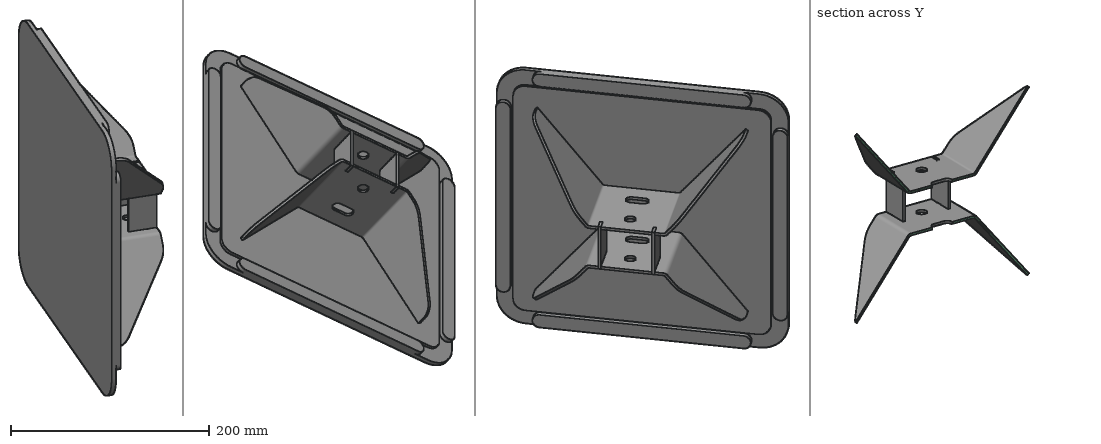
import cadquery as cq
import math


TRAY_SIZE = 300.0
TRAY_CORNER_RADIUS = 30.0
RIM_DEPTH = 10.0
TRAY_THICKNESS = RIM_DEPTH / 2
RIM_WIDTH = 15.0
RIM_LENGTH = 224.7

RIM_GAP = 2.5
BACKING_THICKNESS = 3.0
BACKING_INSET = RIM_WIDTH + RIM_GAP
BACKING_SIZE = TRAY_SIZE - 2 * BACKING_INSET
BACKING_CORNER_RADIUS = TRAY_CORNER_RADIUS - BACKING_INSET
BACKING_TOP = TRAY_THICKNESS + BACKING_THICKNESS

TOTAL_DEPTH = 88.0
BRACKET_HEIGHT = TOTAL_DEPTH - BACKING_TOP
SHEET = 3.0
WEB_HALF_WIDTH = 37.8
WEB_GAP = 43.8
WEB_INNER_Z = WEB_GAP / 2
BEND_INNER_RADIUS = 3.0
BEND_OUTER_RADIUS = BEND_INNER_RADIUS + SHEET
BEND_ANGLE = 51.0
WING_LENGTH = 106.5
WING_FLAT = 18.5
WING_END_TOP = 27.5
WING_TOP_RADIUS = 30.0
WING_END_RADIUS = 20.0

HOLE_DIAMETER = 11.0
HOLE_Y = 67.0
SLOT_LENGTH = 23.7
SLOT_Y = 30.3

CROSS_X = 27.5
CROSS_THICKNESS = SHEET
CROSS_DEPTH = 30.0
TAB_DEPTH = 10.0

FRAME_OFFSET = (0.3, 0, 0.3)


def block(x_size, y_start, y_end, z_size, x=0, z=0):
    """Box centred on (x, z), reaching from y_start to y_end."""
    return (
        cq.Workplane("XY")
        .box(x_size, y_end - y_start, z_size)
        .translate((x, (y_start + y_end) / 2, z))
    )


def rounded_square(size, radius, y_start, thickness):
    return block(size, y_start, y_start + thickness, size).edges("|Y").fillet(radius)


def make_tray():
    tray = rounded_square(TRAY_SIZE, TRAY_CORNER_RADIUS, 0, TRAY_THICKNESS)
    strip = (
        cq.Workplane("XZ", origin=(0, 0, (TRAY_SIZE - RIM_WIDTH) / 2))
        .slot2D(RIM_LENGTH, RIM_WIDTH)
        .extrude(-RIM_DEPTH)
    )
    for side in range(4):
        tray = tray.union(strip.rotate((0, 0, 0), (0, 1, 0), 90 * side))
    return tray


def make_backing():
    return rounded_square(BACKING_SIZE, BACKING_CORNER_RADIUS, TRAY_THICKNESS, BACKING_THICKNESS)


def make_wing():
    """Right-hand flat wing, cut from sheet and turned into place at the end of the bend."""
    wing = (
        cq.Workplane("XY")
        .moveTo(0, BACKING_TOP)
        .lineTo(WING_LENGTH, BACKING_TOP)
        .lineTo(WING_LENGTH, WING_END_TOP)
        .lineTo(WING_FLAT, TOTAL_DEPTH)
        .lineTo(0, TOTAL_DEPTH)
        .close()
        .extrude(SHEET)
    )
    rounded_corners = (
        (WING_LENGTH, WING_END_TOP, WING_END_RADIUS),
        (WING_FLAT, TOTAL_DEPTH, WING_TOP_RADIUS),
    )
    for x, y, radius in rounded_corners:
        corner = cq.selectors.NearestToPointSelector((x, y, SHEET / 2))
        wing = wing.edges("|Z").edges(corner).fillet(radius)
    turn = math.radians(BEND_ANGLE)
    bend_end_x = WEB_HALF_WIDTH + BEND_OUTER_RADIUS * math.sin(turn)
    bend_end_z = WEB_INNER_Z + BEND_OUTER_RADIUS * (1 - math.cos(turn))
    return wing.rotate((0, 0, 0), (0, 1, 0), -BEND_ANGLE).translate((bend_end_x, 0, bend_end_z))


def make_bend():
    """Right-hand bend: a ring sector about the bend axis, between web and wing."""
    axis_z = WEB_INNER_Z + BEND_OUTER_RADIUS

    def on_arc(radius, angle):
        turn = math.radians(angle)
        return (WEB_HALF_WIDTH + radius * math.sin(turn), axis_z - radius * math.cos(turn))

    return (
        cq.Workplane("XZ", origin=(0, BACKING_TOP, 0))
        .moveTo(*on_arc(BEND_OUTER_RADIUS, 0))
        .threePointArc(on_arc(BEND_OUTER_RADIUS, BEND_ANGLE / 2), on_arc(BEND_OUTER_RADIUS, BEND_ANGLE))
        .lineTo(*on_arc(BEND_INNER_RADIUS, BEND_ANGLE))
        .threePointArc(on_arc(BEND_INNER_RADIUS, BEND_ANGLE / 2), on_arc(BEND_INNER_RADIUS, 0))
        .close()
        .extrude(-BRACKET_HEIGHT)
    )


def make_web():
    """Flat middle of the bracket with its hole, slot and notches for the cross plates."""
    web = block(2 * WEB_HALF_WIDTH, BACKING_TOP, TOTAL_DEPTH, SHEET, z=WEB_INNER_Z + SHEET / 2)
    openings = (
        cq.Workplane("XY", origin=(0, HOLE_Y, WEB_INNER_Z))
        .circle(HOLE_DIAMETER / 2)
        .extrude(SHEET)
        .union(
            cq.Workplane("XY", origin=(0, SLOT_Y, WEB_INNER_Z))
            .slot2D(SLOT_LENGTH, HOLE_DIAMETER)
            .extrude(SHEET)
        )
    )
    web = web.cut(openings)
    for x in (-CROSS_X, CROSS_X):
        web = web.cut(make_tabs(x))
    return web


def make_bracket():
    """Upper bracket: the web with a bend and a wing on either side."""
    wing_and_bend = make_bend().union(make_wing())
    return make_web().union(wing_and_bend).union(wing_and_bend.mirror("YZ"))


def make_tabs(x):
    """Bar through both webs whose ends are the tabs of a cross plate."""
    tab_span = WEB_GAP + 2 * SHEET
    return block(CROSS_THICKNESS, TOTAL_DEPTH - TAB_DEPTH, TOTAL_DEPTH, tab_span, x=x)


def make_cross_plate(x):
    body = block(CROSS_THICKNESS, TOTAL_DEPTH - CROSS_DEPTH, TOTAL_DEPTH, WEB_GAP, x=x)
    return body.union(make_tabs(x))


tray = make_tray()
backing = make_backing()
upper_bracket = make_bracket()
brackets = [upper_bracket, upper_bracket.mirror("XY")]
cross_plates = [make_cross_plate(x) for x in (-CROSS_X, CROSS_X)]

frame = [body.translate(FRAME_OFFSET) for body in (*brackets, *cross_plates)]

result = cq.Compound.makeCompound([body.val() for body in (tray, backing, *frame)])